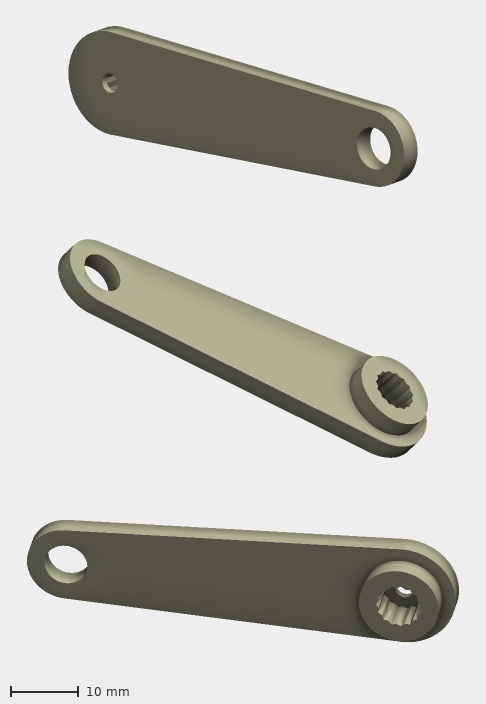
import cadquery as cq
import math

overall_length = 64.5
wide_diameter = 15.9
wide_radius = wide_diameter / 2
narrow_radius = 5.9
center_distance = overall_length - wide_radius - narrow_radius

plate_thickness = 3.1
boss_height = 3.1
boss_diameter = 12.0
pin_hole_diameter = 2.95

socket_web = 1.0
socket_depth = plate_thickness + boss_height - socket_web
socket_teeth = 15
socket_root_radius = 3.4
socket_tip_radius = 3.1

eye_hole_diameter = 6.45


def cylinder(x, diameter, y_start, length):
    """Cylinder along +Y, centred at (x, 0) in the XZ plane."""
    start = cq.Vector(x, y_start, 0)
    return cq.Workplane(cq.Solid.makeCylinder(diameter / 2, length, start, cq.Vector(0, 1, 0)))


def lever_plate():
    """Two semicircular ends joined by straight tapered edges."""
    return (
        cq.Workplane("XZ")
        .moveTo(0, wide_radius)
        .lineTo(center_distance, narrow_radius)
        .threePointArc((center_distance + narrow_radius, 0), (center_distance, -narrow_radius))
        .lineTo(0, -wide_radius)
        .threePointArc((-wide_radius, 0), (0, wide_radius))
        .close()
        .extrude(-plate_thickness)
    )


def toothed_socket():
    """Star-shaped prism whose corners alternate between the root and tip circles."""
    corner_step = math.pi / socket_teeth
    corners = []
    for i in range(2 * socket_teeth):
        radius = socket_root_radius if i % 2 == 0 else socket_tip_radius
        angle = i * corner_step
        corners.append((radius * math.cos(angle), radius * math.sin(angle)))
    return (
        cq.Workplane("XZ", origin=(0, socket_web, 0))
        .polyline(corners)
        .close()
        .extrude(-socket_depth)
    )


boss = cylinder(0, boss_diameter, plate_thickness, boss_height)

pin_hole = cylinder(0, pin_hole_diameter, 0, socket_web)

eye_hole = cylinder(center_distance, eye_hole_diameter, 0, plate_thickness)

result = lever_plate().union(boss).cut(pin_hole).cut(toothed_socket()).cut(eye_hole)